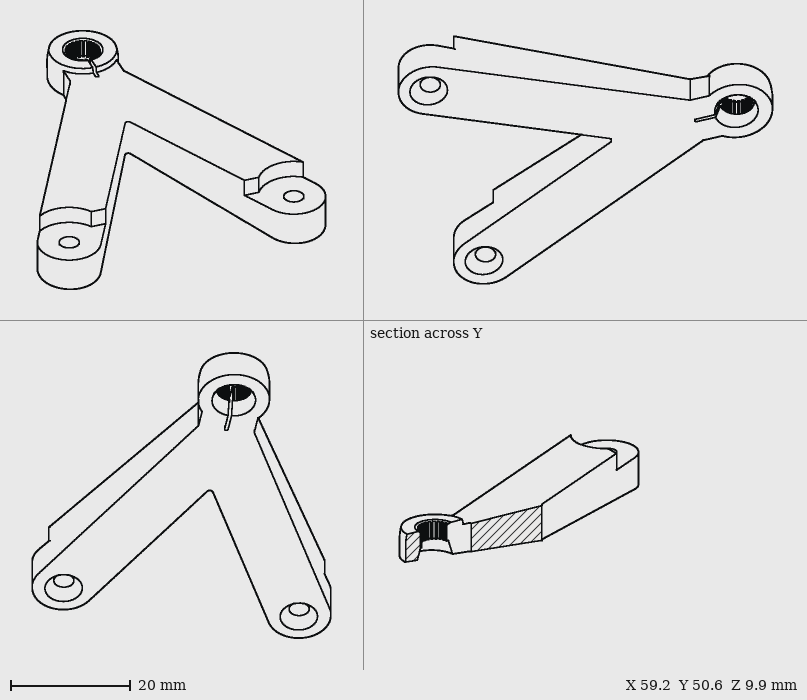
import cadquery as cq
import math

overall_length = 59.2
overall_width = 50.6

hub_radius = 6.0
hub_rim_radius = 5.7
hub_base_radius = 5.85
hub_top = 9.9
hub_crown_height = 2.1

eye_radius = 5.3
eye_top = 5.9
eye_hole_diameter = 3.4
eye_countersink_diameter = 7.1
eye_relief_radius = 6.0
eye_relief_edge_x = 44.75

arm_top = 8.95
arm_angle = 27.4
crotch_radius = 0.55
neck_half_width = 4.75
underside_drop = 4.85

spline_teeth = 24
spline_tip_radius = 2.55
spline_root_radius = 2.9
groove_width = 0.4
bore_chamfer_radius = 3.4
bore_chamfer_depth = 0.3
flare_height = 6.7
flare_top_radius = spline_root_radius
flare_base_radius = 5.05

slot_width = 0.6
slot_end_x = 7.2

eye_x = overall_length - hub_radius - eye_radius
eye_y = overall_width / 2 - eye_radius
angle = math.radians(arm_angle)
arm_axis_x = eye_x - eye_y / math.tan(angle)
arm_edge_offset = eye_radius / math.sin(angle)
neck_end_x = arm_axis_x - arm_edge_offset + neck_half_width / math.tan(angle)
crotch_x = arm_axis_x + arm_edge_offset
tangent_dx = eye_radius * math.sin(angle)
tangent_dy = eye_radius * math.cos(angle)


def cylinder(x, y, radius, bottom, top):
    return cq.Workplane("XY", origin=(x, y, bottom)).circle(radius).extrude(top - bottom)


def cone(x, y, bottom, bottom_radius, top, top_radius):
    return (
        cq.Workplane("XY", origin=(x, y, bottom))
        .circle(bottom_radius)
        .workplane(offset=top - bottom)
        .circle(top_radius)
        .loft()
    )


def fork():
    """Neck and both arms in one V-shaped plate with round arm ends."""
    plate = (
        cq.Workplane("XY")
        .moveTo(0, -neck_half_width)
        .lineTo(neck_end_x, -neck_half_width)
        .lineTo(eye_x - tangent_dx, -eye_y - tangent_dy)
        .threePointArc(
            (eye_x + eye_radius * math.cos(angle), -eye_y - eye_radius * math.sin(angle)),
            (eye_x + tangent_dx, -eye_y + tangent_dy),
        )
        .lineTo(crotch_x, 0)
        .lineTo(eye_x + tangent_dx, eye_y - tangent_dy)
        .threePointArc(
            (eye_x + eye_radius * math.cos(angle), eye_y + eye_radius * math.sin(angle)),
            (eye_x - tangent_dx, eye_y + tangent_dy),
        )
        .lineTo(neck_end_x, neck_half_width)
        .lineTo(0, neck_half_width)
        .close()
        .extrude(arm_top)
    )
    crotch_edge = cq.selectors.NearestToPointSelector((crotch_x, 0, arm_top / 2))
    return plate.edges("|Z").edges(crotch_edge).fillet(crotch_radius)


def hub():
    """Round boss whose wall curves gently inward, above and below its widest height."""
    crown_bottom = hub_top - hub_crown_height
    halfway_radius = hub_radius - (hub_radius - hub_base_radius) / 4
    return (
        cq.Workplane("XZ")
        .lineTo(hub_base_radius, 0)
        .threePointArc((halfway_radius, crown_bottom / 2), (hub_radius, crown_bottom))
        .tangentArcPoint((hub_rim_radius, hub_top), relative=False)
        .lineTo(0, hub_top)
        .close()
        .revolve(360, (0, 0), (0, 1))
    )


def below_underside():
    """Wedge under the sloping bottom face, which falls from the hub to the eyes."""
    return (
        cq.Workplane("XZ")
        .polyline([(-hub_radius, 0), (-hub_radius, underside_drop), (eye_x + eye_radius, 0)])
        .close()
        .extrude(overall_width, both=True)
    )


def eye_relief(side):
    """Step that lowers the arm end to the eye height, reaching from the centre plane past the arm."""
    y = side * eye_y
    step_length = eye_x + eye_radius - eye_relief_edge_x
    step = (
        cq.Workplane("XY", origin=(eye_relief_edge_x + step_length / 2, y, eye_top))
        .rect(step_length, 2 * eye_y)
        .extrude(arm_top - eye_top)
    )
    return step.union(cylinder(eye_x, y, eye_relief_radius, eye_top, arm_top))


def eye_bore(side):
    """Through hole with a countersink opening on the underside."""
    y = side * eye_y
    hole_radius = eye_hole_diameter / 2
    mouth_radius = eye_countersink_diameter / 2
    countersink = cone(eye_x, y, 0, mouth_radius, mouth_radius - hole_radius, hole_radius)
    return cylinder(eye_x, y, hole_radius, 0, eye_top).union(countersink)


def splined_bore():
    """Splined hole with a chamfered mouth on top and a long flare below."""
    bore = cylinder(0, 0, spline_tip_radius, 0, hub_top)
    grooves = (
        cq.Workplane("XY", origin=(0, 0, flare_height))
        .polarArray(spline_tip_radius, 0, 360, spline_teeth)
        .rect(2 * (spline_root_radius - spline_tip_radius), groove_width)
        .extrude(hub_top - flare_height)
    )
    mouth = cone(0, 0, hub_top - bore_chamfer_depth, spline_tip_radius, hub_top, bore_chamfer_radius)
    flare = cone(0, 0, 0, flare_base_radius, flare_height, flare_top_radius)
    return bore.union(grooves).union(mouth).union(flare)


def clamp_slot():
    """Narrow slot from the bore into the neck, with a rounded end."""
    end_center_x = slot_end_x - slot_width / 2
    slot = (
        cq.Workplane("XY")
        .center(end_center_x / 2, 0)
        .rect(end_center_x, slot_width)
        .extrude(hub_top)
    )
    return slot.union(cylinder(end_center_x, 0, slot_width / 2, 0, hub_top))


result = fork().union(hub()).cut(below_underside())
result = result.cut(splined_bore()).cut(clamp_slot())
for side in (-1, 1):
    result = result.cut(eye_relief(side)).cut(eye_bore(side))